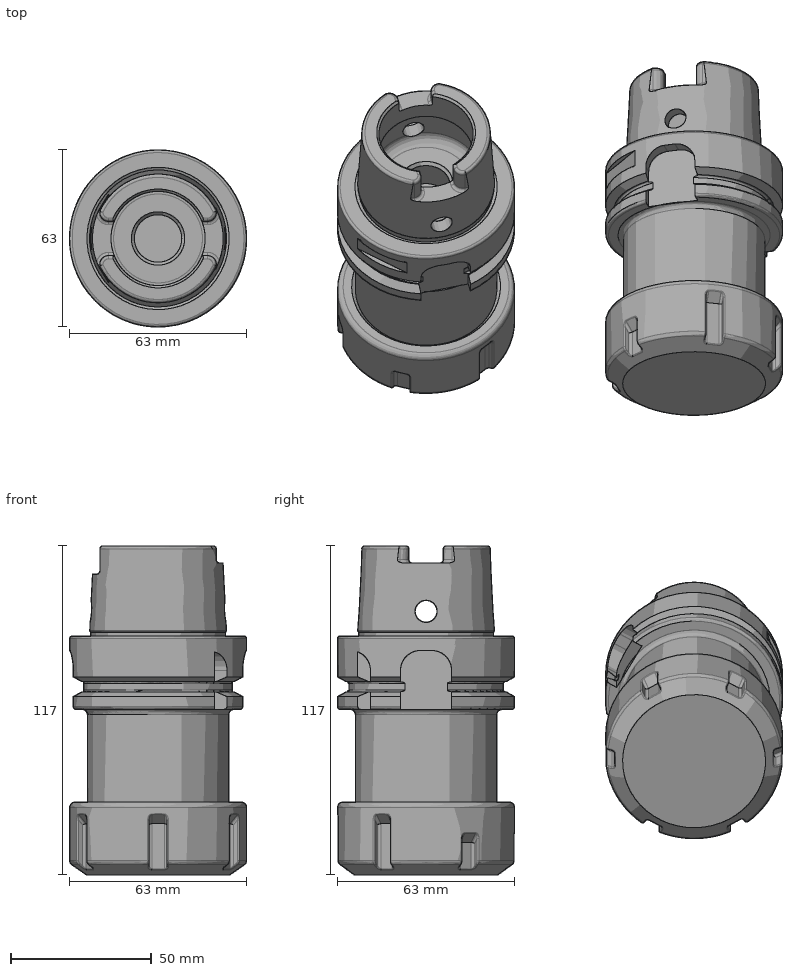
import cadquery as cq
import math

total_height = 117.0
max_radius = 31.5
body_radius = 25.2

nut_top = 26.0
nut_nose_radius = 25.4
nut_nose_height = 4.2
nut_nose_blend = 1.8
nut_top_fillet = 2.0
nut_gap_radius = 26.5
nut_gap_depth = nut_gap_radius - body_radius
nut_slot_count = 6
nut_slot_width = 6.3
nut_slot_fillet = 0.9
nut_slot_rounding = 0.5
nut_slot_floor_radius = 28.2
nut_slot_end_slope = 3.4
tall_slot_top = 21.6
short_slot_top = 15.0
slot_overshoot = 1.2

neck_fillet = 1.9
flange_bottom = 58.9
flange_bottom_fillet = 1.0
flange_top = 85.0
flange_top_fillet = 0.9
groove_radius = 27.5
groove_mouth_radius = 28.5
groove_fillet = 0.7
groove_side_angle = 30.0
groove_slope = (max_radius - groove_mouth_radius) * math.tan(math.radians(groove_side_angle))
lower_rim_top = 63.4
upper_rim_bottom = 70.4
groove_bottom = lower_rim_top + groove_slope
groove_top = upper_rim_bottom - groove_slope

keyway_width = 18.1
keyway_floor = 26.5
keyway_top = 79.8
keyway_corner = 7.0

notch_x = 20.0
notch_y = -19.8
notch_outer_y = notch_y - keyway_width

recess_angle = 135.0
recess_distance = 29.7
recess_bottom = 74.9
recess_top = 80.8

relief_radius = 24.0
relief_height = 1.9
relief_step = 0.6
undercut_radius = 25.3
undercut_depth = 0.7
taper_big_radius = 24.3
taper_small_radius = 22.8
rim_fillet = 1.2

bore_radius = 16.7
bore_chamfer = 0.8
bore_lip = 104.4
chamber_radius = 19.5
chamber_floor = 87.3
chamber_fillet = 3.7
center_hole_radius = 8.4
center_hole_chamfer = 1.0
center_hole_depth = 11.7
cross_hole_radius = 3.9
cross_hole_height = 93.7

drive_slot_width = 12.2
drive_slot_corner = 3.2
drive_slot_flat = 20.7
drive_slot_floor_fillet = 1.2
drive_slot_floors = {-1: 106.9, 1: 110.9}


def revolve(outline):
    """Closes the outline and turns it fully around Z."""
    return outline.close().revolve(360, (0, 0, 0), (0, 1, 0))


def near(point):
    """Selects the edge whose centre is closest to the point."""
    return cq.selectors.NearestToPointSelector(point)


def make_body():
    outline = (
        cq.Workplane("XZ")
        .moveTo(0, nut_top - nut_gap_depth)
        .lineTo(body_radius, nut_top - nut_gap_depth)
        .lineTo(body_radius, flange_bottom - neck_fillet)
        .radiusArc((body_radius + neck_fillet, flange_bottom), neck_fillet)
        .lineTo(max_radius - flange_bottom_fillet, flange_bottom)
        .radiusArc((max_radius, flange_bottom + flange_bottom_fillet), -flange_bottom_fillet)
        .lineTo(max_radius, lower_rim_top)
        .lineTo(groove_mouth_radius, groove_bottom)
        .lineTo(groove_radius + groove_fillet, groove_bottom)
        .radiusArc((groove_radius, groove_bottom + groove_fillet), groove_fillet)
        .lineTo(groove_radius, groove_top - groove_fillet)
        .radiusArc((groove_radius + groove_fillet, groove_top), groove_fillet)
        .lineTo(groove_mouth_radius, groove_top)
        .lineTo(max_radius, upper_rim_bottom)
        .lineTo(max_radius, flange_top - flange_top_fillet)
        .radiusArc((max_radius - flange_top_fillet, flange_top), -flange_top_fillet)
        .lineTo(undercut_radius, flange_top)
        .lineTo(relief_radius, flange_top - undercut_depth)
        .lineTo(0, flange_top - undercut_depth)
    )
    return revolve(outline)


def make_nut():
    outline = (
        cq.Workplane("XZ")
        .lineTo(nut_nose_radius, 0)
        .lineTo(max_radius, nut_nose_height)
        .lineTo(max_radius, nut_top - nut_top_fillet)
        .radiusArc((max_radius - nut_top_fillet, nut_top), -nut_top_fillet)
        .lineTo(nut_gap_radius, nut_top)
        .lineTo(body_radius, nut_top - nut_gap_depth)
        .lineTo(0, nut_top - nut_gap_depth)
    )
    nut = revolve(outline)
    nut = nut.edges(near((0, 0, nut_nose_height))).fillet(nut_nose_blend)
    for index in range(nut_slot_count):
        angle = -90 + index * 360 / nut_slot_count
        on_back = math.sin(math.radians(angle)) > 0
        slot_top = short_slot_top if on_back else tall_slot_top
        nut = nut.rotate((0, 0, 0), (0, 0, 1), -angle).cut(make_nut_slot(slot_top))
        nut = nut.edges(near((max_radius, 0, slot_top))).fillet(nut_slot_rounding)
        nut = nut.rotate((0, 0, 0), (0, 0, 1), angle)
    return nut


def make_nut_slot(slot_top):
    """Wrench slot on the +X side, open at the nose, with a sloping upper end."""
    depth = max_radius - nut_slot_floor_radius
    outer_x = max_radius + depth
    slot = (
        cq.Workplane("XZ")
        .moveTo(nut_slot_floor_radius, -slot_overshoot)
        .lineTo(nut_slot_floor_radius, slot_top - nut_slot_end_slope)
        .lineTo(outer_x, slot_top + nut_slot_end_slope)
        .lineTo(outer_x, -slot_overshoot)
        .close()
        .extrude(nut_slot_width / 2, both=True)
    )
    return slot.edges("(>Y or <Y) and (not >X) and (not <Z)").fillet(nut_slot_fillet)


def make_shank():
    outline = (
        cq.Workplane("XZ")
        .moveTo(0, nut_top)
        .lineTo(relief_radius, nut_top)
        .lineTo(relief_radius, flange_top + relief_height - relief_step)
        .lineTo(taper_big_radius, flange_top + relief_height)
        .lineTo(taper_small_radius, total_height)
        .lineTo(0, total_height)
    )
    shank = revolve(outline)
    for side, floor in drive_slot_floors.items():
        shank = shank.cut(make_drive_slot(side, floor))
    return shank.faces(">Z").edges().fillet(rim_fillet)


def make_drive_slot(side, floor):
    """Slot from the axis out through the rim on one side of X, with a rounded flaring mouth."""
    wall_y = drive_slot_width / 2
    flare_y = wall_y + drive_slot_corner
    straight_x = drive_slot_flat - drive_slot_corner
    slot = (
        cq.Workplane("XY", origin=(0, 0, floor))
        .moveTo(0, -wall_y)
        .lineTo(straight_x, -wall_y)
        .radiusArc((drive_slot_flat, -flare_y), drive_slot_corner)
        .lineTo(drive_slot_flat, -max_radius)
        .lineTo(max_radius, -max_radius)
        .lineTo(max_radius, max_radius)
        .lineTo(drive_slot_flat, max_radius)
        .lineTo(drive_slot_flat, flare_y)
        .radiusArc((straight_x, wall_y), drive_slot_corner)
        .lineTo(0, wall_y)
        .close()
        .extrude(total_height - floor)
    )
    for edge_y in (-wall_y, wall_y):
        slot = slot.edges(near((straight_x / 2, edge_y, floor))).fillet(drive_slot_floor_fillet)
    return slot.rotate((0, 0, 0), (0, 0, 1), 0 if side > 0 else 180)


def make_bore():
    outline = (
        cq.Workplane("XZ")
        .moveTo(0, chamber_floor - center_hole_depth)
        .lineTo(center_hole_radius, chamber_floor - center_hole_depth)
        .lineTo(center_hole_radius, chamber_floor - center_hole_chamfer)
        .lineTo(center_hole_radius + center_hole_chamfer, chamber_floor)
        .lineTo(chamber_radius - chamber_fillet, chamber_floor)
        .radiusArc((chamber_radius, chamber_floor + chamber_fillet), -chamber_fillet)
        .lineTo(chamber_radius, bore_lip)
        .lineTo(bore_radius, bore_lip)
        .lineTo(bore_radius, total_height - bore_chamfer)
        .lineTo(bore_radius + bore_chamfer, total_height)
        .lineTo(0, total_height)
    )
    return revolve(outline)


def make_keyway(side, inner_x, near_y, far_y):
    """Flat-floored slot on one side of X, open outward and downward, with round top corners."""
    depth = max_radius - inner_x
    width = abs(far_y - near_y)
    height = keyway_top - flange_bottom
    return (
        cq.Workplane("XY")
        .box(depth, width, height, centered=(False, True, False))
        .edges("|X and >Z")
        .fillet(keyway_corner)
        .translate((inner_x, (near_y + far_y) / 2, flange_bottom))
        .rotate((0, 0, 0), (0, 0, 1), 0 if side > 0 else 180)
    )


def make_flat_recess():
    """Flat on the upper flange rim, running out into the round surface."""
    return (
        cq.Workplane("XY")
        .box(max_radius, 2 * max_radius, recess_top - recess_bottom, centered=(False, True, False))
        .translate((recess_distance, 0, recess_bottom))
        .rotate((0, 0, 0), (0, 0, 1), recess_angle)
    )


def make_cross_hole():
    return (
        cq.Workplane("YZ", origin=(-max_radius, 0, cross_hole_height))
        .circle(cross_hole_radius)
        .extrude(2 * max_radius)
    )


result = make_body().union(make_nut()).union(make_shank())
result = result.cut(make_bore()).cut(make_cross_hole()).cut(make_flat_recess())
for side in (-1, 1):
    result = result.cut(make_keyway(side, keyway_floor, -keyway_width / 2, keyway_width / 2))
result = result.cut(make_keyway(1, notch_x, notch_y, notch_outer_y))